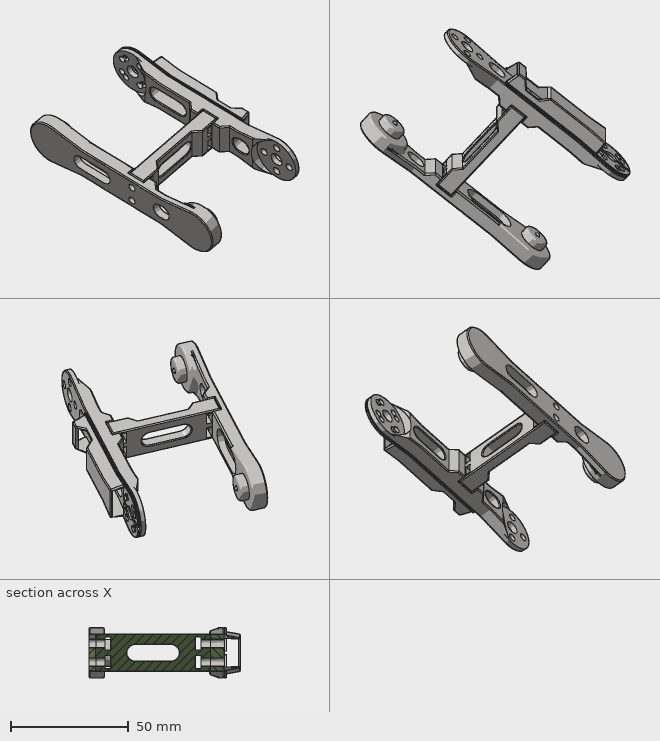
import cadquery as cq
import math

LENGTH = 101.5
END_RADIUS = 10.8
END_X = LENGTH / 2 - END_RADIUS
WAIST_X = 22.2
WAIST_Z = 7.9
WAIST_REACH = math.hypot(WAIST_Z, END_X - WAIST_X)
TANGENT_ANGLE = math.atan2(WAIST_Z, WAIST_X - END_X) - math.acos(END_RADIUS / WAIST_REACH)
TANGENT_X = END_X + END_RADIUS * math.cos(TANGENT_ANGLE)
CLEARANCE = 1.0
TOLERANCE = 0.1

DEPTH = 64.6
FRONT_Y = -DEPTH / 2
FRONT_BACK_Y = -25.6
RECESS_Y = -28.7
BOSS_FACE_Y = 15.9
REAR_FACE_Y = 19.0
DISC_FACE_Y = 22.8
REAR_BACK_Y = 25.4
COVER_PLATE_Y = 26.3
COVER_Y = DEPTH / 2
EDGE_CHAMFER = 0.5

BAR_X = 6.0
BAR_WIDTH = 8.1
BAR_LEFT = BAR_X - BAR_WIDTH / 2
BAR_RIGHT = BAR_X + BAR_WIDTH / 2
BAR_NECK_RIGHT = 6.8
BAR_MID_X = (BAR_LEFT + BAR_NECK_RIGHT) / 2
BAR_FRONT_Y = -29.3
BAR_BACK_Y = 19.4
BAR_MID_Y = (BAR_FRONT_Y + BAR_BACK_Y) / 2
BAR_LENGTH = BAR_BACK_Y - BAR_FRONT_Y
NECK_LENGTH = 22.7
BAR_SLOT_LENGTH = 22.3
BAR_SLOT_RADIUS = 3.6
NUT_OFFSET = 19.2
NUT_LENGTH = 2.3
NUT_HEIGHT = 5.5
POCKET_CHAMFER = 0.4

SCREW_DIAMETER = 3.5
SCREW_Z = 4.0

ARM_SLOT_RADIUS = 3.7
FRONT_SLOTS = ((-26.2, -6.2), (17.9, 26.7))
REAR_SLOT_SHIFT = 1.0
SLOT_POCKET_MARGIN = 2.0
SLOT_CHAMFER = 0.4

SHOULDER_LEFT = -2.0
SHOULDER_RIGHT = 14.0
SLOPE_END_X = 29.8

KNOB_DIAMETER = 11.5
KNOB_HEIGHT = 3.8
KNOB_FILLET = 1.0
NUB_HEIGHT = 1.0
NUB_BASE_DIAMETER = 2.4
NUB_TIP_DIAMETER = 0.6
RIM_FILLET = 1.0
RECESS_FILLET = 1.3
RIM_CHAMFER = 0.7

HUB_DIAMETER = 6.0
HORN_RADIUS = 7.0
TWIN_DIAMETER = 3.0
TWIN_HALF_ANGLE = 12

COVER_LEFT = -32.1
COVER_RIGHT = 18.6
COVER_RIGHT_OUTER = 17.1
COVER_INSET = 0.3
COVER_TAPER = 10
COVER_CHAMFER = 0.5
COVER_CORNER_CHAMFER = 0.7
COVER_WALL = 2.0
COVER_INNER_Y = 31.3
NOTCH_FLOOR_Y = 28.4
NOTCH_FLOOR_LEFT = 2.8
NOTCH_FLOOR_RIGHT = 9.2
SLIT_HEIGHT = 1.5


def arm_slab(y_start, y_end, inset=0.0):
    """Arm outline, moved inward by the inset, filling the space between two Y positions."""
    radius = END_RADIUS - inset
    tangent_x = END_X + radius * math.cos(TANGENT_ANGLE)
    tangent_z = radius * math.sin(TANGENT_ANGLE)
    waist_x = WAIST_X + inset * math.tan((TANGENT_ANGLE - math.pi / 2) / 2)
    waist_z = WAIST_Z - inset
    tip_x = END_X + radius
    return (
        cq.Workplane("XZ", origin=(0, y_start, 0))
        .moveTo(-waist_x, waist_z)
        .lineTo(waist_x, waist_z)
        .lineTo(tangent_x, tangent_z)
        .threePointArc((tip_x, 0), (tangent_x, -tangent_z))
        .lineTo(waist_x, -waist_z)
        .lineTo(-waist_x, -waist_z)
        .lineTo(-tangent_x, -tangent_z)
        .threePointArc((-tip_x, 0), (-tangent_x, tangent_z))
        .close()
        .extrude(y_start - y_end)
    )


def box(x_range, y_range, z_range):
    """Block between pairs of limits."""
    (x0, x1), (y0, y1), (z0, z1) = x_range, y_range, z_range
    return cq.Workplane("XY").box(x1 - x0, y1 - y0, z1 - z0, centered=False).translate((x0, y0, z0))


def x_range_block(x_start, x_end):
    """Block between two X positions, larger than the whole assembly along Y and Z."""
    return box((x_start, x_end), (-DEPTH, DEPTH), (-DEPTH, DEPTH))


def plan_prism(points, half_height=END_RADIUS + CLEARANCE):
    """X-Y polygon extruded equally above and below Z = 0."""
    return cq.Workplane("XY").polyline(points).close().extrude(half_height, both=True)


def y_cylinder(x, z, diameter, y_start, y_end):
    """Round bar along Y."""
    return (
        cq.Workplane("XZ", origin=(x, y_start, z))
        .circle(diameter / 2)
        .extrude(y_start - y_end)
    )


def slot_cutter(x_limits, y_start, y_end, margin=0.0):
    """Round-ended slot along X between its two X limits, widened all round by the margin."""
    left, right = x_limits
    return (
        cq.Workplane("XZ", origin=((left + right) / 2, y_start, 0))
        .slot2D(right - left + 2 * margin, 2 * (ARM_SLOT_RADIUS + margin))
        .extrude(y_start - y_end)
    )


def slot_mouth(x_limits):
    """Chamfer around the inner mouth of a rear arm slot."""
    left, right = x_limits
    return (
        cq.Workplane("XZ", origin=((left + right) / 2, REAR_FACE_Y, 0))
        .slot2D(right - left + 2 * SLOT_CHAMFER, 2 * (ARM_SLOT_RADIUS + SLOT_CHAMFER))
        .extrude(-SLOT_CHAMFER, taper=45)
    )


def cut_screw_holes(body, y_start, y_end):
    """The pair of screw holes on the bar centre line."""
    for z in (-SCREW_Z, SCREW_Z):
        body = body.cut(y_cylinder(BAR_X, z, SCREW_DIAMETER, y_start, y_end))
    return body


def bar_socket():
    """Space taken by the bar ends, flared at the edges of the arms."""
    x_range = (BAR_LEFT, BAR_RIGHT)
    y_range = (BAR_FRONT_Y, BAR_BACK_Y)
    socket = box(x_range, y_range, (-WAIST_Z - CLEARANCE, WAIST_Z + CLEARANCE))
    flare_base = cq.Workplane("XY", origin=(BAR_X, BAR_MID_Y, WAIST_Z - POCKET_CHAMFER))
    flare = flare_base.rect(BAR_WIDTH, BAR_LENGTH).extrude(POCKET_CHAMFER, taper=-45)
    return socket.union(flare).union(flare.mirror("XY"))


def chamfer_edges(body, is_wanted, size):
    """Chamfer the edges that the test accepts."""
    edges = [edge for edge in body.edges().vals() if is_wanted(edge)]
    return body.newObject(edges).chamfer(size)


def bar_slot(x_start, x_end, margin=0.0, taper=0):
    """Round-ended slot along Y through the bar, widened all round by the margin."""
    return (
        cq.Workplane("YZ", origin=(x_start, BAR_MID_Y, 0))
        .slot2D(BAR_SLOT_LENGTH + 2 * margin, 2 * (BAR_SLOT_RADIUS + margin))
        .extrude(x_end - x_start, taper=taper)
    )


def make_cross_bar():
    """Bar joining the two arms, with a narrow slotted middle and nut pockets at its ends."""
    shoulder = BAR_RIGHT - BAR_NECK_RIGHT
    neck_front = BAR_MID_Y - NECK_LENGTH / 2
    neck_back = BAR_MID_Y + NECK_LENGTH / 2
    bar = plan_prism(
        [
            (BAR_LEFT, BAR_FRONT_Y),
            (BAR_RIGHT, BAR_FRONT_Y),
            (BAR_RIGHT, neck_front - shoulder),
            (BAR_NECK_RIGHT, neck_front),
            (BAR_NECK_RIGHT, neck_back),
            (BAR_RIGHT, neck_back + shoulder),
            (BAR_RIGHT, BAR_BACK_Y),
            (BAR_LEFT, BAR_BACK_Y),
        ],
        WAIST_Z,
    )
    bar = bar.faces("|Z").edges().chamfer(EDGE_CHAMFER)
    throat = bar_slot(BAR_LEFT, BAR_NECK_RIGHT)
    left_mouth = bar_slot(BAR_LEFT, BAR_LEFT + SLOT_CHAMFER, SLOT_CHAMFER, 45)
    right_mouth = left_mouth.mirror("YZ", (BAR_MID_X, 0, 0))
    bar = bar.cut(throat).cut(left_mouth).cut(right_mouth)
    for nut_y in (BAR_MID_Y - NUT_OFFSET, BAR_MID_Y + NUT_OFFSET):
        nut_pockets = (
            cq.Workplane("YZ", origin=(0, nut_y, 0))
            .pushPoints([(0, -SCREW_Z), (0, SCREW_Z)])
            .rect(NUT_LENGTH, NUT_HEIGHT)
            .extrude(LENGTH / 2)
        )
        bar = bar.cut(nut_pockets)
    bar = cut_screw_holes(bar, BAR_FRONT_Y, BAR_MID_Y - NUT_OFFSET)
    return cut_screw_holes(bar, BAR_MID_Y + NUT_OFFSET, BAR_BACK_Y)


def make_knob(x):
    """Round knob with a small conical nub."""
    knob_y = FRONT_BACK_Y + KNOB_HEIGHT
    knob = y_cylinder(x, 0, KNOB_DIAMETER, FRONT_BACK_Y - CLEARANCE, knob_y)
    knob = knob.faces(">Y").edges().fillet(KNOB_FILLET)
    nub = cq.Solid.makeCone(
        NUB_BASE_DIAMETER / 2,
        NUB_TIP_DIAMETER / 2,
        NUB_HEIGHT,
        pnt=cq.Vector(x, knob_y, 0),
        dir=cq.Vector(0, 1, 0),
    )
    return knob.union(cq.Workplane(nub))


def make_pad_foot():
    """Concave flare between the recess floor and the right end, trimmed to the arm outline."""
    outer_radius = END_RADIUS + RECESS_FILLET
    inner_radius = END_RADIUS - CLEARANCE
    top_y = RECESS_Y + RECESS_FILLET
    bend = RECESS_FILLET * (1 - math.sqrt(0.5))
    ring = (
        cq.Workplane("XY")
        .moveTo(inner_radius, RECESS_Y)
        .lineTo(outer_radius, RECESS_Y)
        .threePointArc((END_RADIUS + bend, RECESS_Y + bend), (END_RADIUS, top_y))
        .lineTo(inner_radius, top_y)
        .close()
        .revolve(360, (0, 0, 0), (0, 1, 0))
        .translate((END_X, 0, 0))
    )
    return ring.intersect(arm_slab(RECESS_Y, top_y)).intersect(x_range_block(WAIST_X, TANGENT_X))


def make_left_end():
    """Full-depth left end of the front arm with a rounded inner rim."""
    end = arm_slab(FRONT_Y, FRONT_BACK_Y)
    end = end.faces(">Y").edges().fillet(RIM_FILLET)
    end = end.faces("<Y").edges().chamfer(EDGE_CHAMFER)
    return end.intersect(x_range_block(-LENGTH, -WAIST_X))


def make_right_end():
    """Full-depth round right end of the front arm with a rounded inner rim."""
    end = y_cylinder(END_X, 0, 2 * END_RADIUS, FRONT_Y, FRONT_BACK_Y)
    end = end.faces(">Y").edges().fillet(RIM_FILLET)
    return end.faces("<Y").edges().chamfer(EDGE_CHAMFER)


def make_front_span():
    """Stretch of the front arm between its ends, thinned beyond the shoulder."""
    rise = FRONT_BACK_Y - RECESS_Y
    span = arm_slab(FRONT_Y, FRONT_BACK_Y)
    span = span.faces("<Y").edges().chamfer(EDGE_CHAMFER)
    span = span.intersect(x_range_block(-WAIST_X, TANGENT_X))
    recess = plan_prism(
        [
            (SHOULDER_RIGHT, FRONT_BACK_Y),
            (SHOULDER_RIGHT + rise, RECESS_Y),
            (LENGTH, RECESS_Y),
            (LENGTH, FRONT_BACK_Y),
        ]
    )
    span = span.cut(recess)

    def is_inner_rim(edge):
        centre = edge.Center()
        runs_along_x = edge.BoundingBox().xlen > CLEARANCE
        on_inner_side = centre.y > RECESS_Y - TOLERANCE
        return runs_along_x and on_inner_side and abs(centre.z) > WAIST_Z - TOLERANCE

    return chamfer_edges(span, is_inner_rim, RIM_CHAMFER)


def make_front_arm():
    """Front arm with two knobs, two slots and the socket for the bar."""
    arm = make_front_span().union(make_left_end()).union(make_right_end())
    arm = arm.union(make_pad_foot())
    for x in (-END_X, END_X):
        arm = arm.union(make_knob(x))
    arm = arm.cut(bar_socket())
    for x_limits in FRONT_SLOTS:
        arm = arm.cut(slot_cutter(x_limits, FRONT_Y, FRONT_BACK_Y))
    arm = arm.cut(slot_cutter(FRONT_SLOTS[0], RECESS_Y, FRONT_BACK_Y, SLOT_POCKET_MARGIN))
    return cut_screw_holes(arm, FRONT_Y - CLEARANCE, BAR_FRONT_Y)


def cut_horn_hole(body, end_x, diameter, angle, pitch_radius=HORN_RADIUS):
    """One hole through a round end, at an angle from +X towards +Z."""
    x = end_x + pitch_radius * math.cos(math.radians(angle))
    z = pitch_radius * math.sin(math.radians(angle))
    return body.cut(y_cylinder(x, z, diameter, BOSS_FACE_Y, COVER_PLATE_Y))


def cut_right_horn_holes(body):
    """Hub hole and four single holes in the right end."""
    body = cut_horn_hole(body, END_X, HUB_DIAMETER, 0, pitch_radius=0)
    for angle in (0, 90, 180, 270):
        body = cut_horn_hole(body, END_X, SCREW_DIAMETER, angle)
    return body


def cut_left_horn_holes(body):
    """Hub hole and four pairs of overlapping holes in the left end."""
    body = cut_horn_hole(body, -END_X, HUB_DIAMETER, 0, pitch_radius=0)
    for angle in (45, 135, 225, 315):
        for turn in (-TWIN_HALF_ANGLE, TWIN_HALF_ANGLE):
            body = cut_horn_hole(body, -END_X, TWIN_DIAMETER, angle + turn)
    return body


def make_rear_arm():
    """Rear arm with thin round ends, a central boss and the socket for the bar."""
    boss_rise = REAR_FACE_Y - BOSS_FACE_Y
    arm = arm_slab(BOSS_FACE_Y, REAR_BACK_Y)
    arm = arm.faces(">Y").edges().chamfer(EDGE_CHAMFER)
    profile = plan_prism(
        [
            (-LENGTH / 2, REAR_BACK_Y),
            (-LENGTH / 2, DISC_FACE_Y),
            (-TANGENT_X, DISC_FACE_Y),
            (-SLOPE_END_X, REAR_FACE_Y),
            (SHOULDER_LEFT - boss_rise, REAR_FACE_Y),
            (SHOULDER_LEFT, BOSS_FACE_Y),
            (SHOULDER_RIGHT, BOSS_FACE_Y),
            (SHOULDER_RIGHT + boss_rise, REAR_FACE_Y),
            (SLOPE_END_X, REAR_FACE_Y),
            (TANGENT_X, DISC_FACE_Y),
            (LENGTH / 2, DISC_FACE_Y),
            (LENGTH / 2, REAR_BACK_Y),
        ]
    )
    arm = arm.intersect(profile)

    def is_inner_rim(edge):
        centre = edge.Center()
        return centre.y < REAR_FACE_Y + TOLERANCE and abs(centre.z) > WAIST_Z - TOLERANCE

    arm = chamfer_edges(arm, is_inner_rim, EDGE_CHAMFER)
    for x in (-END_X, END_X):
        horn_space = y_cylinder(x, 0, 2 * END_RADIUS, BOSS_FACE_Y, DISC_FACE_Y)
        arm = arm.cut(horn_space.intersect(x_range_block(-TANGENT_X, TANGENT_X)))
    arm = arm.cut(bar_socket())
    for left, right in FRONT_SLOTS:
        shift = math.copysign(REAR_SLOT_SHIFT, left)
        x_limits = (left + shift, right + shift)
        arm = arm.cut(slot_cutter(x_limits, REAR_FACE_Y, REAR_BACK_Y))
        arm = arm.cut(slot_mouth(x_limits))
    arm = cut_screw_holes(arm, BAR_BACK_Y, REAR_BACK_Y)
    arm = cut_left_horn_holes(arm)
    return cut_right_horn_holes(arm)


def is_housing_top(edge):
    """Edge around the top of the cover housing, including the sides of the notch slopes."""
    centre = edge.Center()
    bounds = edge.BoundingBox()
    along_side = bounds.xlen > 2 * CLEARANCE and centre.y > NOTCH_FLOOR_Y + CLEARANCE
    between_ends = COVER_LEFT + TOLERANCE < centre.x < COVER_RIGHT_OUTER - TOLERANCE
    across_end = abs(centre.z) < TOLERANCE and not between_ends
    return along_side or (across_end and centre.y > NOTCH_FLOOR_Y)


def is_housing_corner(edge):
    """Edge between a side and an end face of the cover housing."""
    centre = edge.Center()
    at_end = centre.x < COVER_LEFT + TOLERANCE or centre.x > COVER_RIGHT_OUTER
    off_centre = abs(centre.z) > WAIST_Z / 2
    return at_end and off_centre and edge.BoundingBox().ylen > COVER_CHAMFER * 2


def make_cover_plate():
    """Thin plate against the back of the rear arm."""
    plate = arm_slab(REAR_BACK_Y, COVER_PLATE_Y)
    plate = plate.faces(">Y").edges().chamfer(COVER_INSET)
    return plate.intersect(x_range_block(-LENGTH / 2, COVER_RIGHT))


def make_cover_housing():
    """Tapered housing with a notch across its top."""
    housing = (
        arm_slab(REAR_BACK_Y, COVER_PLATE_Y, COVER_INSET)
        .faces("<Y")
        .wires()
        .toPending()
        .workplane()
        .extrude(REAR_BACK_Y - COVER_Y, taper=COVER_TAPER, combine=False)
    )
    notch_rise = COVER_Y - NOTCH_FLOOR_Y
    profile = plan_prism(
        [
            (COVER_LEFT, REAR_BACK_Y),
            (COVER_LEFT, COVER_Y),
            (NOTCH_FLOOR_LEFT - notch_rise, COVER_Y),
            (NOTCH_FLOOR_LEFT, NOTCH_FLOOR_Y),
            (NOTCH_FLOOR_RIGHT, NOTCH_FLOOR_Y),
            (NOTCH_FLOOR_RIGHT + notch_rise, COVER_Y),
            (COVER_RIGHT_OUTER, COVER_Y),
            (COVER_RIGHT, COVER_PLATE_Y),
            (COVER_RIGHT, REAR_BACK_Y),
        ]
    )
    housing = housing.intersect(profile)
    housing = chamfer_edges(housing, is_housing_top, COVER_CHAMFER)
    return chamfer_edges(housing, is_housing_corner, COVER_CORNER_CHAMFER)


def make_cover():
    """Cover with a cavity open at both ends and a slit across its round end."""
    cavity = arm_slab(REAR_BACK_Y - CLEARANCE, COVER_INNER_Y, COVER_WALL)
    cavity = cavity.intersect(x_range_block(COVER_LEFT, COVER_RIGHT + CLEARANCE))
    slit = box(
        (-LENGTH / 2, COVER_LEFT + CLEARANCE),
        (REAR_BACK_Y - CLEARANCE, COVER_PLATE_Y + CLEARANCE),
        (-SLIT_HEIGHT / 2, SLIT_HEIGHT / 2),
    )
    cover = make_cover_plate().union(make_cover_housing()).cut(cavity).cut(slit)
    return cut_left_horn_holes(cover)


front_arm = make_front_arm()
rear_arm = make_rear_arm()
cross_bar = make_cross_bar()
cover = make_cover()

result = cq.Compound.makeCompound(
    [
        *front_arm.solids().vals(),
        *rear_arm.solids().vals(),
        *cross_bar.solids().vals(),
        *cover.solids().vals(),
    ]
)